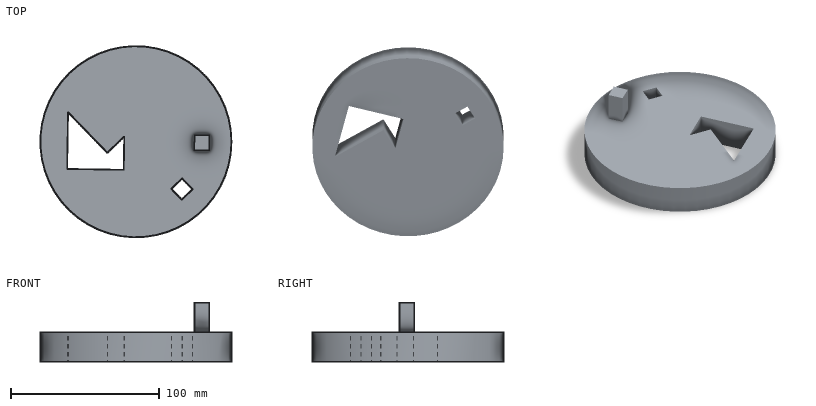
import cadquery as cq
import math

disc_diameter = 129.0
disc_thickness = 20.0

feature_turn = -0.9

peg_side = 10.0
peg_height = 20.0
peg_circle_radius = 44.5
hole_side = peg_side
hole_angle = -44.9

window_side = 38.0
window_center_x = -27.0


def make_disc():
    return cq.Workplane("XY").circle(disc_diameter / 2).extrude(disc_thickness)


def make_square_post(side, angle, base_z, height):
    """Square post on the peg circle, with two faces square to the radius."""
    return (
        cq.Workplane("XY", origin=(0, 0, base_z))
        .center(peg_circle_radius, 0)
        .rect(side, side)
        .extrude(height)
        .rotate((0, 0, 0), (0, 0, 1), angle)
    )


def make_window():
    """Cutter for the window whose upper edge is a V of two 45 degree edges.

    The long edge of the V is as long as the side of the square.
    """
    left = window_center_x - window_side / 2
    right = left + window_side
    bottom = -window_side / 2
    top = bottom + window_side
    long_edge_run = window_side / math.sqrt(2)
    short_edge_run = window_side - long_edge_run
    notch_x = left + long_edge_run
    notch_y = top - long_edge_run
    return (
        cq.Workplane("XY")
        .moveTo(left, bottom)
        .lineTo(right, bottom)
        .lineTo(right, notch_y + short_edge_run)
        .lineTo(notch_x, notch_y)
        .lineTo(left, top)
        .close()
        .extrude(disc_thickness)
        .rotate((0, 0, 0), (0, 0, 1), feature_turn)
    )


peg = make_square_post(peg_side, feature_turn, disc_thickness, peg_height)
hole = make_square_post(hole_side, feature_turn + hole_angle, 0, disc_thickness)

result = make_disc().cut(make_window()).cut(hole).union(peg)